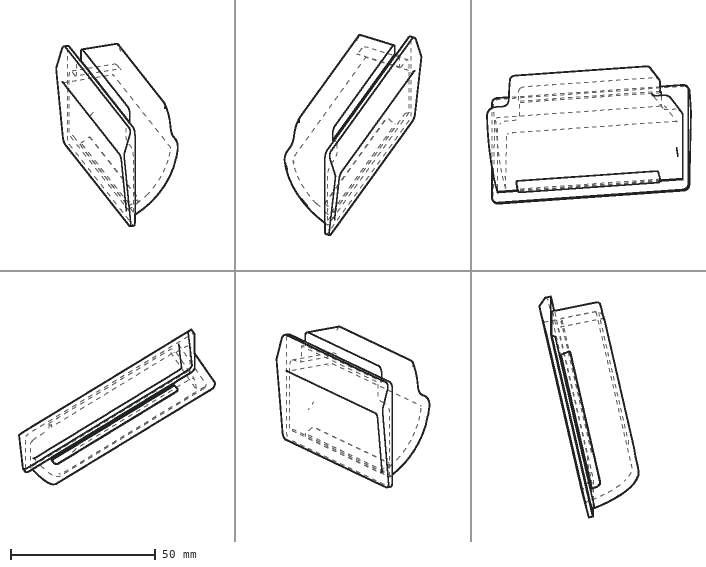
import cadquery as cq
import math

plate_width = 70.0
plate_height = 38.1
rim_thickness = 1.4
ridge_height = 29.1
ridge_depth = 4.05
ridge_radius = 1.5
plate_corner_radius = 2.0

housing_width = 66.1
housing_bottom = 3.65
shoulder_height = 29.55
shoulder_radius = 3.0
tab_width = 50.55
tab_top = 41.0
tab_corner_radius = 2.0
tab_root_radius = 2.0
back_depth = 16.95
back_radius = 29.05
back_edge_radius = 1.0

panel_gap = 1.6
groove_floor = 35.9
catch_back = 4.8
catch_bottom = 2.6
catch_edge_radius = 0.7

wall = 1.75
recess_width = 60.9
recess_bottom = 5.0
recess_top = 26.1
recess_corner_radius = 1.05
recess_floor_radius = 1.0
mouth_radius = 1.0

axis_y = back_depth - back_radius
axis_z = shoulder_height
trim_allowance = 4.2
overlap = 0.7


def nearest_to(point):
    return cq.selectors.NearestToPointSelector(point)


def side_extrusion(profile, width):
    """Extrude a closed YZ profile symmetrically along X."""
    return profile.close().extrude(width).translate((-width / 2, 0, 0))


def back_cylinder(radius):
    disc = cq.Workplane("YZ").center(axis_y, axis_z).circle(radius)
    return disc.extrude(plate_width).translate((-plate_width / 2, 0, 0))


def face_plate():
    profile = (
        cq.Workplane("YZ")
        .moveTo(0, 0)
        .lineTo(-rim_thickness, 0)
        .lineTo(-ridge_depth, ridge_height)
        .lineTo(-rim_thickness, plate_height)
        .lineTo(0, plate_height)
    )
    plate = side_extrusion(profile, plate_width)
    plate = plate.edges("|X").edges("<Y").fillet(ridge_radius)
    return plate.edges("|Y").fillet(plate_corner_radius)


def housing():
    def centered_block(width, bottom, top):
        depth = back_depth + overlap
        block = cq.Workplane("XY").box(width, depth, top - bottom, centered=(True, False, False))
        return block.translate((0, -overlap, bottom))

    tall_tab = centered_block(tab_width, housing_bottom, tab_top + trim_allowance)
    block = centered_block(housing_width, housing_bottom, shoulder_height).union(tall_tab)

    def fillet_uprights(solid, x, z, radius):
        for side in (-1, 1):
            near = nearest_to((side * x, back_depth / 2, z))
            solid = solid.edges("|Y").edges(near).fillet(radius)
        return solid

    block = fillet_uprights(block, housing_width / 2, shoulder_height, shoulder_radius)
    block = fillet_uprights(block, tab_width / 2, shoulder_height, tab_root_radius)
    body = block.intersect(back_cylinder(back_radius))
    curved_back = body.faces("%CYLINDER").faces(nearest_to((0, back_depth, axis_z)))
    rim = curved_back.edges().filter(lambda edge: edge.BoundingBox().xlen < tab_width / 2)
    body = body.newObject(rim.vals()).fillet(back_edge_radius)

    trim_tool = centered_block(tab_width, shoulder_height, tab_top)
    trim_tool = trim_tool.edges("|Y and >Z").fillet(tab_corner_radius)
    lower_tool = centered_block(housing_width, housing_bottom, shoulder_height + shoulder_radius)
    body = body.intersect(trim_tool.union(lower_tool))

    groove = cq.Workplane("XY").box(
        plate_width, panel_gap + overlap, tab_top - groove_floor, centered=(True, False, False)
    ).translate((0, -overlap, groove_floor))
    return body.cut(groove)


def catch():
    """Rounded lip that hooks behind the panel under the housing."""
    radius = catch_back - panel_gap
    nose_z = catch_bottom + radius
    diagonal = radius * math.sqrt(0.5)
    arc_middle = (panel_gap + diagonal, nose_z - diagonal)
    profile = (
        cq.Workplane("YZ")
        .moveTo(panel_gap, nose_z)
        .lineTo(panel_gap, catch_bottom)
        .threePointArc(arc_middle, (catch_back, nose_z))
    )
    lip = side_extrusion(profile, tab_width)
    return lip.faces("%CYLINDER").edges("<X or >X").fillet(catch_edge_radius)


def finger_recess():
    """Cutter with a curved floor parallel to the housing back."""
    def recess_block(top):
        height = top - recess_bottom
        depth = back_depth + 2 * ridge_depth
        block = cq.Workplane("XY").box(recess_width, depth, height, centered=(True, False, False))
        return block.translate((0, -2 * ridge_depth, recess_bottom))

    tall_block = recess_block(recess_top + trim_allowance)
    tall_block = tall_block.edges("|Y and <Z").fillet(recess_corner_radius)
    cutter = tall_block.intersect(back_cylinder(back_radius - wall))
    floor = cutter.faces("%CYLINDER").faces(nearest_to((0, back_depth, recess_top / 2)))
    sides = floor.edges().filter(lambda edge: edge.BoundingBox().xlen < recess_width / 2)
    cutter = cutter.newObject(sides.vals()).fillet(recess_floor_radius)
    return cutter.intersect(recess_block(recess_top).edges("|Y").fillet(recess_corner_radius))


def round_mouth(solid):
    """Round the recess rim on the sloping face below the ridge."""
    slope_middle = (0, -(rim_thickness + ridge_depth) / 2, ridge_height / 2)
    face = solid.faces(nearest_to(slope_middle))
    rim = face.val().innerWires()[0].Edges()
    return solid.newObject(rim).fillet(mouth_radius)


result = face_plate().union(housing()).union(catch()).cut(finger_recess())
result = round_mouth(result)